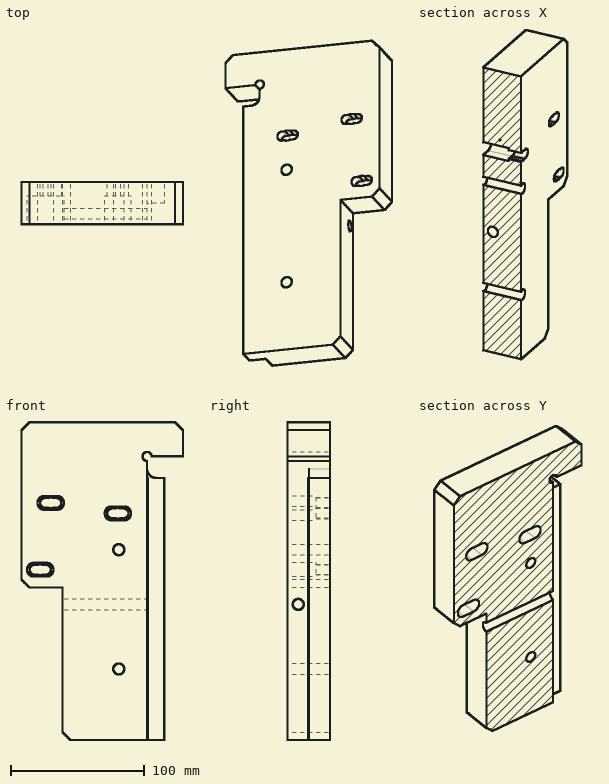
import cadquery as cq

width = 120.6
thickness = 31.8
height = 237.5
corner_chamfer = 6.0

foot_left = 30.6
shoulder_z = 114.0
web_right = 93.8
arm_bottom_z = 211.8
relief_diameter = 6.6

flange_right = 106.6
flange_top_z = 196.0
flange_front_y = thickness / 2
flange_top_radius = 6.6
flange_root_radius = 0.7

slot_centers = [(21.8, 177.2), (72.0, 169.3), (14.0, 127.3)]
recess_length = 19.7
recess_height = 10.5
recess_depth = 21.4
slot_length = 16.0
slot_height = 7.1
slot_hole_diameter = 8.0

hole_diameter = 8.0
front_holes = [(72.7, 142.3), (72.7, 53.2)]
side_hole_y = 8.0
side_hole_z = 101.5


def front_plane(y=0.0):
    """Sketch plane with local axes X and Z, whose positive extrusion runs toward -Y."""
    return cq.Workplane("XZ", origin=(0, y, 0))


def make_body():
    c = corner_chamfer
    outline = [
        (foot_left + c, 0),
        (web_right, 0),
        (web_right, arm_bottom_z),
        (width, arm_bottom_z),
        (width, height - c),
        (width - c, height),
        (c, height),
        (0, height - c),
        (0, shoulder_z + c),
        (c, shoulder_z),
        (foot_left, shoulder_z),
        (foot_left, c),
    ]
    return front_plane().polyline(outline).close().extrude(-thickness)


def make_flange():
    """Half-thickness strip with a concave round where its top meets the web."""
    r = flange_top_radius
    arc_center = (web_right + r, flange_top_z + r)
    strip = (
        front_plane(flange_front_y)
        .moveTo(web_right, 0)
        .lineTo(flange_right, 0)
        .lineTo(flange_right, flange_top_z)
        .lineTo(arc_center[0], flange_top_z)
        .radiusArc((web_right, arc_center[1]), r)
        .close()
        .extrude(flange_front_y - thickness)
    )
    return strip


def make_flange_root():
    """Small concave fillet between the web's side and the flange's front."""
    r = flange_root_radius
    return (
        cq.Workplane("XY")
        .moveTo(web_right, flange_front_y)
        .lineTo(web_right + r, flange_front_y)
        .radiusArc((web_right, flange_front_y - r), r)
        .close()
        .extrude(flange_top_z)
    )


def make_slot_cuts():
    recess = front_plane().pushPoints(slot_centers).slot2D(recess_length, recess_height).extrude(-recess_depth)
    slot = front_plane().pushPoints(slot_centers).slot2D(slot_length, slot_height).extrude(-thickness)
    hole = front_plane().pushPoints(slot_centers).circle(slot_hole_diameter / 2).extrude(-thickness)
    return recess.union(slot).union(hole)


def make_hole_cuts():
    front = front_plane().pushPoints(front_holes).circle(hole_diameter / 2).extrude(-thickness)
    side = cq.Workplane("YZ").center(side_hole_y, side_hole_z).circle(hole_diameter / 2).extrude(width)
    return front.union(side)


def make_corner_relief():
    """Round relief in the inside corner below the arm."""
    return front_plane().center(web_right, arm_bottom_z).circle(relief_diameter / 2).extrude(-thickness)


result = make_body().union(make_flange()).union(make_flange_root())
result = result.cut(make_slot_cuts()).cut(make_hole_cuts()).cut(make_corner_relief())